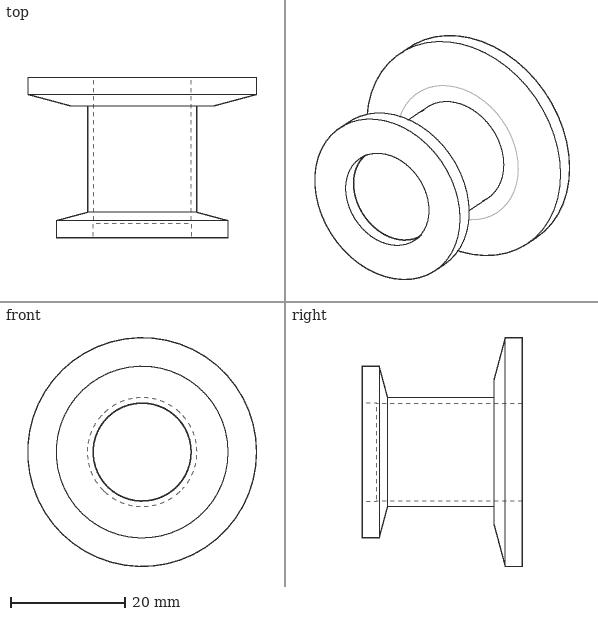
import cadquery as cq
import math

LENGTH = 28.0
TUBE_DIAMETER = 19.1
BORE_DIAMETER = 17.02

RIM_THICKNESS = 3.0
TAPER_ANGLE = 15.0
SMALL_FLANGE_DIAMETER = 30.0
LARGE_FLANGE_DIAMETER = 40.0
LARGE_FLANGE_THICKNESS = 5.0

RECESS_DIAMETER = 17.2
RECESS_DEPTH = 2.5


def make_body():
    """Revolve the solid outer profile (radius, Y) around the Y axis."""
    tube_radius = TUBE_DIAMETER / 2
    small_radius = SMALL_FLANGE_DIAMETER / 2
    large_radius = LARGE_FLANGE_DIAMETER / 2
    slope = math.tan(math.radians(TAPER_ANGLE))

    small_shoulder_end = RIM_THICKNESS + (small_radius - tube_radius) * slope
    large_rim_start = LENGTH - RIM_THICKNESS
    large_flange_start = LENGTH - LARGE_FLANGE_THICKNESS
    large_flat_radius = large_radius - (LARGE_FLANGE_THICKNESS - RIM_THICKNESS) / slope

    profile = [
        (0, 0),
        (small_radius, 0),
        (small_radius, RIM_THICKNESS),
        (tube_radius, small_shoulder_end),
        (tube_radius, large_flange_start),
        (large_flat_radius, large_flange_start),
        (large_radius, large_rim_start),
        (large_radius, LENGTH),
        (0, LENGTH),
    ]
    return cq.Workplane("XY").polyline(profile).close().revolve(360, (0, 0), (0, 1))


def make_hole(diameter, depth):
    """Cylinder running from the small flange face into the part along +Y."""
    return cq.Workplane("XZ").circle(diameter / 2).extrude(-depth)


bore = make_hole(BORE_DIAMETER, LENGTH)
recess = make_hole(RECESS_DIAMETER, RECESS_DEPTH)
result = make_body().cut(bore).cut(recess)